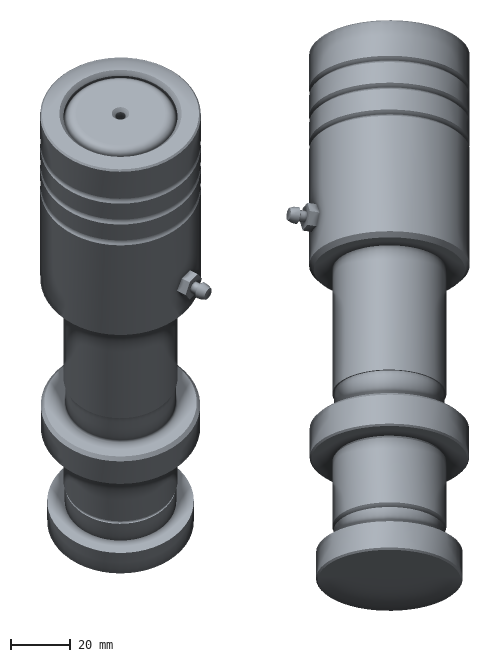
import cadquery as cq
import math

TOTAL_HEIGHT = 195.0
CAP_FLANGE_TOP = 10.3
CAP_TOP = 18.3
COLLAR_BOTTOM = 44.8
COLLAR_TOP = 57.3
NECK_TOP = 69.0
BUSHING_BOTTOM = 115.0
NIPPLE_HEIGHT = 129.9

PIN_RADIUS = 19.1
NECK_RADIUS = 18.5
COLLAR_RADIUS = 26.7
COLLAR_TOP_CHAMFER = 1.2
COLLAR_BOTTOM_CHAMFER = 0.5
NECK_FILLET = 0.8
RELIEF_HEIGHT = 1.0
PIN_TOP_FILLET = 4.0
PIN_BOTTOM_CHAMFER = 1.5
CENTRE_HOLE_RADIUS = 1.8
CENTRE_HOLE_DEPTH = 5.8
COUNTERSINK_RADIUS = 3.0
DRILL_POINT_ANGLE = 118

BUSHING_RADIUS = 27.0
BUSHING_TOP_CHAMFER = 0.5
BUSHING_BOTTOM_CHAMFER = 1.5
BORE_CHAMFER = 1.4
GROOVE_COUNT = 3
GROOVE_DEPTH = 1.2
GROOVE_PITCH = 10.0
FIRST_GROOVE_DROP = 14.6

CAP_SPIGOT_RADIUS = 18.7
CAP_FLANGE_RADIUS = 24.5
CAP_BOTTOM_CHAMFER = 0.5

NIPPLE_ANGLE = -15
HEX_ACROSS_FLATS = 8.2
HEX_SEAT = 25.7
HEX_END = 30.0
STEM_RADIUS = 2.0
HEAD_START = 32.4
HEAD_WIDEST = 32.8
HEAD_RADIUS = 3.0
TIP_RADIUS = 2.1
TIP_END = 35.9


def make_centre_hole():
    """Blind hole with a 45 degree countersink and a drill point, open at the pin's top."""
    countersink_bottom = TOTAL_HEIGHT - (COUNTERSINK_RADIUS - CENTRE_HOLE_RADIUS)
    hole_bottom = TOTAL_HEIGHT - CENTRE_HOLE_DEPTH
    point_height = CENTRE_HOLE_RADIUS / math.tan(math.radians(DRILL_POINT_ANGLE / 2))
    return (
        cq.Workplane("XZ")
        .moveTo(0, TOTAL_HEIGHT)
        .lineTo(COUNTERSINK_RADIUS, TOTAL_HEIGHT)
        .lineTo(CENTRE_HOLE_RADIUS, countersink_bottom)
        .lineTo(CENTRE_HOLE_RADIUS, hole_bottom)
        .lineTo(0, hole_bottom - point_height)
        .close()
        .revolve(360, (0, 0, 0), (0, 1, 0))
    )


def make_pin():
    """Guide pin with a rounded top, a necked collar and a centre hole in the top face."""
    relief_bottom = COLLAR_BOTTOM - RELIEF_HEIGHT
    pin_length = TOTAL_HEIGHT - CAP_TOP
    shaft = (
        cq.Workplane("XY").workplane(offset=CAP_TOP).circle(PIN_RADIUS).extrude(pin_length)
        .faces(">Z").edges().fillet(PIN_TOP_FILLET)
        .faces("<Z").edges().chamfer(PIN_BOTTOM_CHAMFER)
    )
    neck_cut = (
        cq.Workplane("XY").workplane(offset=relief_bottom)
        .circle(COLLAR_RADIUS).circle(NECK_RADIUS).extrude(NECK_TOP - relief_bottom)
    )
    collar = (
        cq.Workplane("XY").workplane(offset=COLLAR_BOTTOM)
        .circle(COLLAR_RADIUS).extrude(COLLAR_TOP - COLLAR_BOTTOM)
        .faces(">Z").edges().chamfer(COLLAR_TOP_CHAMFER)
        .faces("<Z").edges().chamfer(COLLAR_BOTTOM_CHAMFER)
    )
    neck_corner = cq.selectors.BoxSelector(
        (-PIN_RADIUS, -PIN_RADIUS, COLLAR_TOP - NECK_FILLET),
        (PIN_RADIUS, PIN_RADIUS, COLLAR_TOP + NECK_FILLET),
        boundingbox=True,
    )
    pin = shaft.cut(neck_cut).union(collar).edges(neck_corner).fillet(NECK_FILLET)
    return pin.cut(make_centre_hole())


def make_cap():
    """Flanged cap under the pin: a spigot on a wider disc."""
    return (
        cq.Workplane("XY").circle(CAP_FLANGE_RADIUS).extrude(CAP_FLANGE_TOP)
        .faces("<Z").edges().chamfer(CAP_BOTTOM_CHAMFER)
        .faces(">Z").workplane().circle(CAP_SPIGOT_RADIUS).extrude(CAP_TOP - CAP_FLANGE_TOP)
    )


def make_groove(height):
    """Ring of V section, with 45 degree flanks, centred at the given height."""
    return (
        cq.Workplane("XZ")
        .moveTo(BUSHING_RADIUS, height - GROOVE_DEPTH)
        .lineTo(BUSHING_RADIUS - GROOVE_DEPTH, height)
        .lineTo(BUSHING_RADIUS, height + GROOVE_DEPTH)
        .close()
        .revolve(360, (0, 0, 0), (0, 1, 0))
    )


def make_bushing():
    """Bushing around the pin's upper end, with V grooves near its top."""
    body = (
        cq.Workplane("XY").workplane(offset=BUSHING_BOTTOM)
        .circle(BUSHING_RADIUS).extrude(TOTAL_HEIGHT - BUSHING_BOTTOM)
        .faces(">Z").edges().chamfer(BUSHING_TOP_CHAMFER)
        .faces("<Z").edges().chamfer(BUSHING_BOTTOM_CHAMFER)
        .faces(">Z").workplane().circle(PIN_RADIUS).cutThruAll()
        .faces(">Z").edges(cq.selectors.RadiusNthSelector(0)).chamfer(BORE_CHAMFER)
    )
    for index in range(GROOVE_COUNT):
        groove_height = TOTAL_HEIGHT - FIRST_GROOVE_DROP - index * GROOVE_PITCH
        body = body.cut(make_groove(groove_height))
    return body


def place_nipple(shape):
    """Turn a shape built along +X to the nipple's direction and lift it to its height."""
    return shape.rotate((0, 0, 0), (0, 0, 1), NIPPLE_ANGLE).translate((0, 0, NIPPLE_HEIGHT))


def make_hex():
    """Hexagonal base of the nipple, with flats facing up and down."""
    across_corners = HEX_ACROSS_FLATS / math.cos(math.radians(30))
    return (
        cq.Workplane("YZ").workplane(offset=HEX_SEAT)
        .polygon(6, across_corners).extrude(HEX_END - HEX_SEAT)
    )


def make_nipple():
    """Grease nipple: hexagonal base, thin stem and rounded head with a blunt tip."""
    head_length = TIP_END - HEAD_WIDEST
    head_drop = HEAD_RADIUS - TIP_RADIUS
    arc_radius = (head_length ** 2 + head_drop ** 2) / (2 * head_drop)
    half_sweep = math.asin(head_length / arc_radius) / 2
    head_bulge = (
        HEAD_WIDEST + arc_radius * math.sin(half_sweep),
        HEAD_RADIUS - arc_radius * (1 - math.cos(half_sweep)),
    )
    stem_and_head = (
        cq.Workplane("XY")
        .moveTo(HEX_SEAT, 0)
        .lineTo(HEX_SEAT, STEM_RADIUS)
        .lineTo(HEAD_START, STEM_RADIUS)
        .lineTo(HEAD_WIDEST, HEAD_RADIUS)
        .threePointArc(head_bulge, (TIP_END, TIP_RADIUS))
        .lineTo(TIP_END, 0)
        .close()
        .revolve(360, (0, 0, 0), (1, 0, 0))
    )
    return place_nipple(make_hex().union(stem_and_head))


pin = make_pin()
cap = make_cap()
nipple = make_nipple()
bushing = make_bushing().cut(place_nipple(make_hex()))

result = cq.Compound.makeCompound([pin.val(), cap.val(), bushing.val(), nipple.val()])